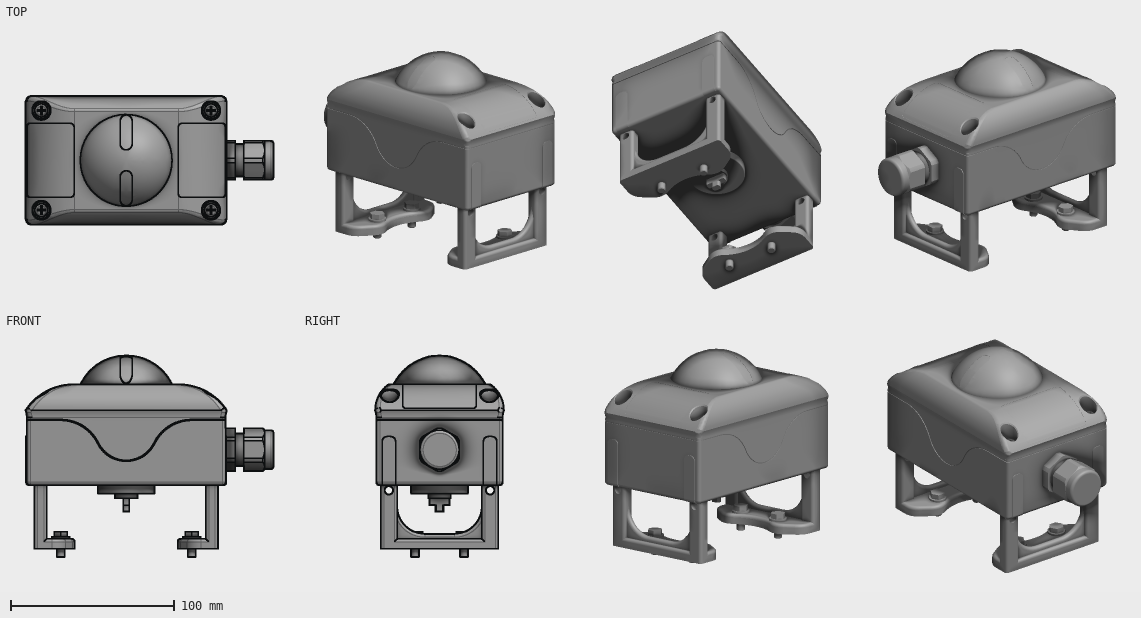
import cadquery as cq
import math

BODY_LENGTH = 121.9
BODY_WIDTH = 77.5
BODY_HEIGHT = 41.8
BODY_ROUND = 2.1

LID_OVERHANG = 0.8
LID_RIM_Z = 45.9
LID_TOP_Z = 62.0
LID_FLAT_HALF_LENGTH = 31.9
LID_SIDE_RADIUS = 19.5
LID_EDGE_ROUND = 3.0
PANEL_WIDTH = 45.3
PANEL_ROUND = 2.3
MARK_DEPTH = 0.2
PANEL_RIM_GAP = 1.2

SEAM_Z = 40.1
SEAM_WIDTH = 0.6
SEAM_DEPTH = 0.5
WAVE_HALF_LENGTH = 40.1
WAVE_DROP = 25.1
WAVE_TROUGH_RADIUS = 19.2

PAD_WIDTH = 8.2
PAD_HEIGHT = 30.0
PAD_RAISE = 0.5
PAD_ROUND = 3.0

DOME_BASE_RADIUS = 28.1
DOME_TOP_Z = 79.6
DOME_GROOVE_WIDTH = 7.3
DOME_GROOVE_INNER_Y = 6.4
DOME_GROOVE_OUTER_Y = 27.8

SCREW_X = 52.0
SCREW_Y = 30.5
SCREW_HOLE_DIAMETER = 10.5
SCREW_HOLE_CHAMFER = 0.6
SCREW_HOLE_FLOOR_Z = 45.1
SCREW_HEAD_DIAMETER = 8.0
SCREW_HEAD_HEIGHT = 3.8
SCREW_HEAD_ROUND = 1.2
CROSS_LENGTH = 5.2
CROSS_WIDTH = 0.9
CROSS_DEPTH = 1.5

GLAND_Z = 21.9
GLAND_END_X = 90.3
HEX_FLATS = 24.0
HEX_CORNERS = 26.3
BASE_NUT_END_X = 66.9
GLAND_NECK_DIAMETER = 20.0
CAP_NUT_START_X = 72.0
CAP_NUT_END_X = 85.1
CAP_NUT_CHAMFER = 1.4
CAP_DIAMETER = 24.0
CAP_ROUND = 1.8

FLANGE_DIAMETER = 35.0
FLANGE_BOTTOM_Z = -5.2
FLANGE_ROUND = 0.6
COLLAR_DIAMETER = 14.0
COLLAR_BOTTOM_Z = -7.9
BLADE_DIAMETER = 12.6
BLADE_BOTTOM_Z = -12.2
TIP_DIAMETER = 5.3
TIP_BOTTOM_Z = -16.1
BLADE_THICKNESS = 3.8

FOOT_OUTER_X = 56.4
UPRIGHT_THICKNESS = 7.8
FOOT_WIDTH = 72.0
FOOT_BOTTOM_Z = -38.9
SOLE_THICKNESS = 6.2
FOOT_ROUND = 2.0
SOLE_CORNER_RADIUS = 10.0
SOLE_CORNER_X = 45.6
SOLE_TOE_X = 41.5
SOLE_TOE_Y = 19.8
SOLE_WAIST_X = 37.0
WINDOW_WIDTH = 51.7
WINDOW_BOTTOM_Z = -29.6
WINDOW_CORNER_RADIUS = 16.7
RECESS_DEPTH = 2.3
WEB_SETBACK = 1.4
WINDOW_ROUND = 2.0
FOOT_HOLE_DIAMETER = 5.0
FOOT_HOLE_Y = 31.0
FOOT_HOLE_Z = -3.0

BOLT_X = 40.1
BOLT_Y = 15.0
BOLT_DIAMETER = 5.0
BOLT_END_Z = -44.1
BOLT_END_CHAMFER = 0.5
WASHER_DIAMETER = 11.0
WASHER_TOP_Z = -31.5
BOLT_HEAD_FLATS = 8.0
BOLT_HEAD_TOP_Z = -28.3

BURIED = 1.5
EDGE_MARGIN = 0.2
THROUGH = 304.0

LID_HALF_LENGTH = BODY_LENGTH / 2 + LID_OVERHANG
LID_HALF_WIDTH = BODY_WIDTH / 2 + LID_OVERHANG
COVE_HEIGHT = LID_RIM_Z - BODY_HEIGHT
COVE_RADIUS = (COVE_HEIGHT**2 + LID_OVERHANG**2) / (2 * LID_OVERHANG)
LID_RISE = LID_TOP_Z - LID_RIM_Z
LID_END_RUN = LID_HALF_LENGTH - LID_FLAT_HALF_LENGTH
LID_END_RADIUS = (LID_END_RUN**2 + LID_RISE**2) / (2 * LID_RISE)
LID_END_CENTRE_Z = LID_TOP_Z - LID_END_RADIUS
DOME_RISE = DOME_TOP_Z - LID_TOP_Z
DOME_RADIUS = (DOME_BASE_RADIUS**2 + DOME_RISE**2) / (2 * DOME_RISE)
DOME_CENTRE_Z = DOME_TOP_Z - DOME_RADIUS
FOOT_INNER_X = FOOT_OUTER_X - UPRIGHT_THICKNESS
SOLE_TOP_Z = FOOT_BOTTOM_Z + SOLE_THICKNESS


def box_between(x, y, z):
    """Box spanning three (low, high) ranges."""
    return cq.Workplane("XY").box(
        x[1] - x[0], y[1] - y[0], z[1] - z[0], centered=False
    ).translate((x[0], y[0], z[0]))


def upright_cylinder(diameter, bottom, top):
    return cq.Workplane("XY").workplane(offset=bottom).circle(diameter / 2).extrude(top - bottom)


def edges_within(shape, x, y, z):
    """Edges whose centres lie inside three (low, high) ranges."""
    return shape.edges(cq.selectors.BoxSelector((x[0], y[0], z[0]), (x[1], y[1], z[1])))


def both_ends(shape):
    """Shape together with its mirror image on the other end (X)."""
    return shape.union(shape.mirror("YZ"))


def both_sides(shape):
    """Shape together with its mirror image on the other side (Y)."""
    return shape.union(shape.mirror("XZ"))


def rounded_block(length, width):
    return (
        cq.Workplane("XY")
        .rect(length, width)
        .extrude(BODY_HEIGHT)
        .edges("|Z")
        .fillet(BODY_ROUND)
    )


def seam_outline_edge(outline, offset, direction):
    """Add one edge of the wavy seam, shifted up by offset, running along direction (+1 or -1) in X."""
    radius_sum = (WAVE_HALF_LENGTH**2 + WAVE_DROP**2) / (2 * WAVE_DROP)
    crest_radius = radius_sum - WAVE_TROUGH_RADIUS + offset
    bend = math.asin(WAVE_HALF_LENGTH / radius_sum)
    crest_centre_z = SEAM_Z + offset - crest_radius
    crest_top = SEAM_Z + offset
    trough_bottom = SEAM_Z - WAVE_DROP + offset

    def crest(angle):
        x = WAVE_HALF_LENGTH - crest_radius * math.sin(angle)
        return x, crest_centre_z + crest_radius * math.cos(angle)

    def along(point, side):
        return side * direction * point[0], point[1]

    return (
        outline.lineTo(*along((BODY_LENGTH, crest_top), -1))
        .lineTo(*along(crest(0), -1))
        .threePointArc(along(crest(bend / 2), -1), along(crest(bend), -1))
        .threePointArc((0, trough_bottom), along(crest(bend), 1))
        .threePointArc(along(crest(bend / 2), 1), along(crest(0), 1))
        .lineTo(*along((BODY_LENGTH, crest_top), 1))
    )


def make_seam():
    outline = cq.Workplane("XZ").moveTo(-BODY_LENGTH, SEAM_Z)
    outline = seam_outline_edge(outline, SEAM_WIDTH / 2, 1)
    outline = seam_outline_edge(outline, -SEAM_WIDTH / 2, -1)
    strip = outline.close().extrude(THROUGH / 2, both=True)
    core = rounded_block(BODY_LENGTH - 2 * SEAM_DEPTH, BODY_WIDTH - 2 * SEAM_DEPTH)
    return strip.cut(core)


def make_pads():
    pad = box_between(
        (BODY_LENGTH / 2 - BODY_ROUND - BURIED, BODY_LENGTH / 2 + PAD_RAISE),
        (FOOT_HOLE_Y - PAD_WIDTH / 2, FOOT_HOLE_Y + PAD_WIDTH / 2),
        (0, PAD_HEIGHT),
    )
    pad = pad.edges("|X and >Z").fillet(PAD_ROUND)
    pad = pad.edges("|Y and <Z and >X").fillet(BODY_ROUND)
    return both_ends(both_sides(pad))


def make_body():
    body = rounded_block(BODY_LENGTH, BODY_WIDTH).faces("<Z").edges().fillet(BODY_ROUND)
    return body.cut(make_seam()).union(make_pads())


def arched_slab(plane, half_base, arc_centre, radius):
    """Lid cross-section with a coved rim and arched shoulders, drawn on a plane and made endless."""
    centre, centre_z = arc_centre
    rim_angle = math.asin((LID_RIM_Z - centre_z) / radius)
    top_angle = math.asin((LID_TOP_Z - centre_z) / radius)

    def shoulder(angle, side):
        return side * (centre + radius * math.cos(angle)), centre_z + radius * math.sin(angle)

    middle_angle = (rim_angle + top_angle) / 2
    cove_middle = half_base + COVE_RADIUS - math.sqrt(COVE_RADIUS**2 - (COVE_HEIGHT / 2) ** 2)
    cove_middle_z = BODY_HEIGHT + COVE_HEIGHT / 2
    return (
        cq.Workplane(plane)
        .moveTo(-half_base, BODY_HEIGHT)
        .lineTo(half_base, BODY_HEIGHT)
        .threePointArc((cove_middle, cove_middle_z), shoulder(rim_angle, 1))
        .threePointArc(shoulder(middle_angle, 1), shoulder(top_angle, 1))
        .lineTo(*shoulder(top_angle, -1))
        .threePointArc(shoulder(middle_angle, -1), shoulder(rim_angle, -1))
        .threePointArc((-cove_middle, cove_middle_z), (-half_base, BODY_HEIGHT))
        .close()
        .extrude(THROUGH / 2, both=True)
    )


def make_lid_blank():
    end_centre = (LID_FLAT_HALF_LENGTH, LID_END_CENTRE_Z)
    side_centre = (LID_HALF_WIDTH - LID_SIDE_RADIUS, LID_RIM_Z)
    lengthwise = arched_slab("XZ", BODY_LENGTH / 2, end_centre, LID_END_RADIUS)
    crosswise = arched_slab("YZ", BODY_WIDTH / 2, side_centre, LID_SIDE_RADIUS)
    blank = lengthwise.intersect(crosswise)

    top_side_edges = blank.faces(">Z").edges("|X")
    ridges = blank.edges("%BSPLINE")
    rim_corners = blank.edges("%ELLIPSE")
    return top_side_edges.add(ridges).add(rim_corners).fillet(LID_EDGE_ROUND)


def make_panel_recess():
    """Shallow rounded panel pressed into the arched +X end of the lid."""
    panel = box_between(
        (LID_FLAT_HALF_LENGTH, LID_HALF_LENGTH + BURIED),
        (-PANEL_WIDTH / 2, PANEL_WIDTH / 2),
        (LID_RIM_Z + PANEL_RIM_GAP, LID_TOP_Z + BURIED),
    )
    panel = panel.edges("(|X and <Z) or (|Z and <X)").fillet(PANEL_ROUND)
    panel_floor = (
        cq.Workplane("XZ")
        .center(LID_FLAT_HALF_LENGTH, LID_END_CENTRE_Z)
        .circle(LID_END_RADIUS - MARK_DEPTH)
        .extrude(PANEL_WIDTH, both=True)
    )
    return panel.cut(panel_floor)


def make_screw():
    head_top_z = SCREW_HOLE_FLOOR_Z + SCREW_HEAD_HEIGHT
    head = upright_cylinder(SCREW_HEAD_DIAMETER, SCREW_HOLE_FLOOR_Z - BURIED, head_top_z)
    head = head.faces(">Z").edges().fillet(SCREW_HEAD_ROUND)
    cross = (
        cq.Workplane("XY")
        .workplane(offset=head_top_z - CROSS_DEPTH)
        .rect(CROSS_LENGTH, CROSS_WIDTH)
        .extrude(THROUGH)
    )
    return head.cut(cross).cut(cross.rotate((0, 0, 0), (0, 0, 1), 90))


def make_lid():
    lid = make_lid_blank().cut(both_ends(make_panel_recess()))
    hole = upright_cylinder(SCREW_HOLE_DIAMETER, SCREW_HOLE_FLOOR_Z, LID_TOP_Z + BURIED)
    screw = make_screw()
    reach = SCREW_HOLE_DIAMETER / 2
    for x in (-SCREW_X, SCREW_X):
        for y in (-SCREW_Y, SCREW_Y):
            lid = lid.cut(hole.translate((x, y, 0)))
            lip = edges_within(
                lid,
                (x - reach, x + reach),
                (y - reach, y + reach),
                (SCREW_HOLE_FLOOR_Z + EDGE_MARGIN, LID_TOP_Z),
            )
            lid = lip.edges("not %LINE").chamfer(SCREW_HOLE_CHAMFER)
            lid = lid.union(screw.translate((x, y, 0)))
    return lid


def make_dome():
    ball = cq.Workplane("XY").sphere(DOME_RADIUS).translate((0, 0, DOME_CENTRE_Z))
    above_lid = upright_cylinder(2 * DOME_BASE_RADIUS + BURIED, LID_TOP_Z - BURIED, DOME_TOP_Z)
    groove_floor = cq.Workplane("XY").sphere(DOME_RADIUS - MARK_DEPTH).translate((0, 0, DOME_CENTRE_Z))
    groove = (
        cq.Workplane("XY")
        .workplane(offset=LID_TOP_Z)
        .center(0, (DOME_GROOVE_INNER_Y + DOME_GROOVE_OUTER_Y) / 2)
        .slot2D(DOME_GROOVE_OUTER_Y - DOME_GROOVE_INNER_Y, DOME_GROOVE_WIDTH, 90)
        .extrude(DOME_RISE)
        .cut(groove_floor)
    )
    return ball.intersect(above_lid).cut(both_sides(groove))


def gland_section(start):
    return cq.Workplane("YZ").workplane(offset=start).center(0, GLAND_Z)


def gland_cylinder(diameter, start, end):
    return gland_section(start).circle(diameter / 2).extrude(end - start)


def gland_hexagon(start, end):
    """Hexagonal bar with a corner pointing straight up."""
    return gland_section(start).polygon(6, HEX_FLATS, circumscribed=True).extrude(end - start)


def make_gland():
    base_start = BODY_LENGTH / 2 - BURIED
    base_nut = gland_hexagon(base_start, BASE_NUT_END_X)
    base_nut = base_nut.intersect(gland_cylinder(HEX_CORNERS, base_start, BASE_NUT_END_X))
    neck = gland_cylinder(GLAND_NECK_DIAMETER, BODY_LENGTH / 2, CAP_NUT_END_X)
    cap_nut_turning = gland_cylinder(HEX_CORNERS, CAP_NUT_START_X, CAP_NUT_END_X)
    cap_nut_turning = cap_nut_turning.faces(">X").chamfer(CAP_NUT_CHAMFER)
    cap_nut = gland_hexagon(CAP_NUT_START_X, CAP_NUT_END_X).intersect(cap_nut_turning)
    cap = gland_cylinder(CAP_DIAMETER, CAP_NUT_END_X - BURIED, GLAND_END_X)
    cap = cap.faces(">X").edges().fillet(CAP_ROUND)
    return base_nut.union(neck).union(cap_nut).union(cap)


def make_shaft():
    flange = upright_cylinder(FLANGE_DIAMETER, FLANGE_BOTTOM_Z, BURIED)
    flange = flange.faces("<Z").edges().fillet(FLANGE_ROUND)
    collar = upright_cylinder(COLLAR_DIAMETER, COLLAR_BOTTOM_Z, 0)
    blade = upright_cylinder(BLADE_DIAMETER, BLADE_BOTTOM_Z, 0)
    tip = upright_cylinder(TIP_DIAMETER, TIP_BOTTOM_Z, 0)
    flats = box_between(
        (-BLADE_THICKNESS / 2, BLADE_THICKNESS / 2),
        (-COLLAR_DIAMETER, COLLAR_DIAMETER),
        (TIP_BOTTOM_Z, 0),
    )
    return flange.union(collar).union(blade.union(tip).intersect(flats))


def make_sole():
    """Turned-in sole of the +X foot: two rounded toes with a waist between them."""
    half_width = FOOT_WIDTH / 2
    corner_y = half_width - SOLE_CORNER_RADIUS

    def sole_arc(x, y, angle, side):
        return (
            x - SOLE_CORNER_RADIUS * math.cos(angle),
            side * (y + SOLE_CORNER_RADIUS * math.sin(angle)),
        )

    def corner(angle, side):
        return sole_arc(SOLE_CORNER_X, corner_y, angle, side)

    def toe(angle, side):
        return sole_arc(SOLE_TOE_X, SOLE_TOE_Y, angle, side)

    slant = math.atan2(SOLE_CORNER_X - SOLE_TOE_X, corner_y - SOLE_TOE_Y)
    toe_reach = SOLE_WAIST_X - SOLE_TOE_X
    waist_radius = (SOLE_TOE_Y**2 + toe_reach**2 - SOLE_CORNER_RADIUS**2) / (
        2 * (SOLE_CORNER_RADIUS + toe_reach)
    )
    waist = -math.asin(SOLE_TOE_Y / (waist_radius + SOLE_CORNER_RADIUS))
    corner_middle = (slant + math.pi / 2) / 2
    toe_middle = (slant + waist) / 2
    return (
        cq.Workplane("XY")
        .workplane(offset=FOOT_BOTTOM_Z)
        .moveTo(FOOT_OUTER_X, half_width)
        .lineTo(SOLE_CORNER_X, half_width)
        .threePointArc(corner(corner_middle, 1), corner(slant, 1))
        .lineTo(*toe(slant, 1))
        .threePointArc(toe(toe_middle, 1), toe(waist, 1))
        .threePointArc((SOLE_WAIST_X, 0), toe(waist, -1))
        .threePointArc(toe(toe_middle, -1), toe(slant, -1))
        .lineTo(*corner(slant, -1))
        .threePointArc(corner(corner_middle, -1), (SOLE_CORNER_X, -half_width))
        .lineTo(FOOT_OUTER_X, -half_width)
        .close()
        .extrude(SOLE_THICKNESS)
    )


def make_upright():
    """Upright plate of the +X foot joined to its sole, rounded along the outside and around the top."""
    half_width = FOOT_WIDTH / 2
    upright = box_between(
        (FOOT_INNER_X, FOOT_OUTER_X), (-half_width, half_width), (FOOT_BOTTOM_Z, 0)
    )
    upright = upright.union(make_sole()).edges("|Z and >X").fillet(FOOT_ROUND)
    sole_rim = edges_within(
        upright,
        (0, FOOT_INNER_X - EDGE_MARGIN),
        (-half_width - EDGE_MARGIN, half_width + EDGE_MARGIN),
        (SOLE_TOP_Z - EDGE_MARGIN, SOLE_TOP_Z + EDGE_MARGIN),
    )
    inner_corners = edges_within(
        upright,
        (FOOT_INNER_X - EDGE_MARGIN, FOOT_INNER_X + EDGE_MARGIN),
        (-half_width - EDGE_MARGIN, half_width + EDGE_MARGIN),
        (SOLE_TOP_Z, 0),
    ).edges("|Z")
    return sole_rim.add(inner_corners).fillet(FOOT_ROUND)


def make_web():
    """Thin web that closes the lower part of the frame and leaves a rounded window."""
    half_width = (WINDOW_WIDTH + FOOT_WIDTH) / 4
    web = box_between(
        (FOOT_INNER_X + WEB_SETBACK, FOOT_OUTER_X - RECESS_DEPTH),
        (-half_width, half_width),
        (FOOT_BOTTOM_Z, 0),
    )
    window = box_between(
        (0, FOOT_OUTER_X), (-WINDOW_WIDTH / 2, WINDOW_WIDTH / 2), (WINDOW_BOTTOM_Z, BURIED)
    )
    window = window.edges("|X and <Z").fillet(WINDOW_CORNER_RADIUS)
    web = web.cut(window)
    window_rim = web.faces("<X or >X").edges("%CIRCLE")
    return window_rim.fillet(WINDOW_ROUND)


def make_foot():
    opening = box_between(
        (FOOT_INNER_X, FOOT_OUTER_X),
        (-WINDOW_WIDTH / 2, WINDOW_WIDTH / 2),
        (SOLE_TOP_Z, BURIED),
    )
    foot = make_upright().cut(opening)
    recess_rim = edges_within(
        foot,
        (FOOT_OUTER_X - EDGE_MARGIN, FOOT_OUTER_X + EDGE_MARGIN),
        (-WINDOW_WIDTH / 2 - EDGE_MARGIN, WINDOW_WIDTH / 2 + EDGE_MARGIN),
        (SOLE_TOP_Z - EDGE_MARGIN, -EDGE_MARGIN),
    )
    foot = recess_rim.fillet(FOOT_ROUND)
    inner_rim = edges_within(
        foot,
        (FOOT_INNER_X - EDGE_MARGIN, FOOT_INNER_X + EDGE_MARGIN),
        (-WINDOW_WIDTH / 2 - EDGE_MARGIN, WINDOW_WIDTH / 2 + EDGE_MARGIN),
        (SOLE_TOP_Z, 0),
    ).edges("|Z")
    foot = inner_rim.fillet(FOOT_ROUND).union(make_web())
    hole = (
        cq.Workplane("YZ")
        .center(FOOT_HOLE_Y, FOOT_HOLE_Z)
        .circle(FOOT_HOLE_DIAMETER / 2)
        .extrude(THROUGH)
    )
    return foot.cut(both_sides(hole)).union(both_sides(make_bolt()))


def make_bolt():
    pin = upright_cylinder(BOLT_DIAMETER, BOLT_END_Z, SOLE_TOP_Z)
    pin = pin.faces("<Z").chamfer(BOLT_END_CHAMFER)
    washer = upright_cylinder(WASHER_DIAMETER, SOLE_TOP_Z - BURIED, WASHER_TOP_Z)
    head = (
        cq.Workplane("XY")
        .workplane(offset=WASHER_TOP_Z)
        .polygon(6, BOLT_HEAD_FLATS, circumscribed=True)
        .extrude(BOLT_HEAD_TOP_Z - WASHER_TOP_Z)
    )
    return pin.union(washer).union(head).translate((BOLT_X, BOLT_Y, 0))


result = (
    make_body()
    .union(make_lid())
    .union(make_dome())
    .union(make_gland())
    .union(make_shaft())
    .union(both_ends(make_foot()))
)